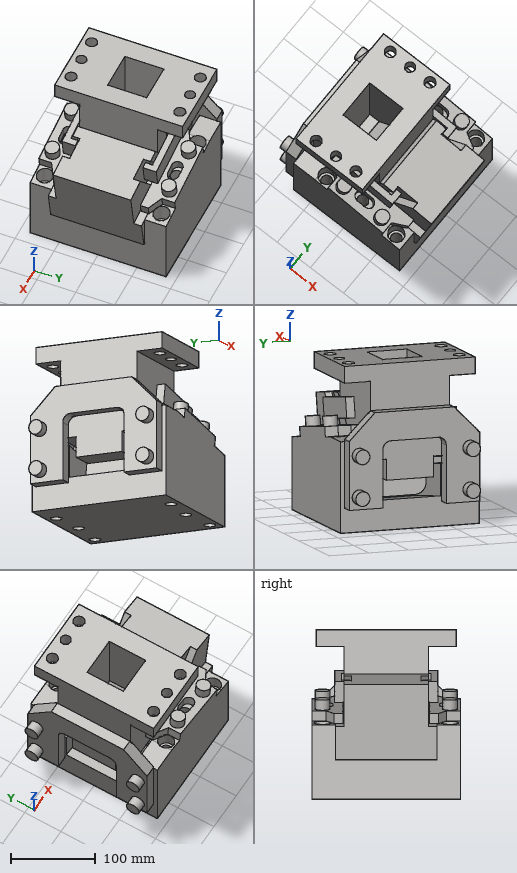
import cadquery as cq
import math


overall_length = 205.1
overall_height = 200.0

base_length = 160.0
base_width = 175.0
base_height = 110.0
slope_start_x = 32.5
slope_angle = 10.0

plate_thickness = 15.0
plate_width = 165.0
plate_bottom = 30.0
plate_top = 145.0
opening_width = 80.0
opening_top = base_height
opening_radius = 10.0
plate_relief_width = 104.2
plate_relief_depth = 1.0
screw_diameter = 17.6
screw_head_height = 12.0
plate_screw_spacing = 139.9
plate_screw_heights = (45.0, 95.0)

press_length = 100.0
press_width = 100.0
flange_width = plate_width
flange_thickness = 20.0
shoulder_z = 85.0
tongue_width = 59.9
tongue_bottom = 59.9
window_size = 50.0
window_floor_z = 68.5
flange_hole_spacing_x = 30.0
flange_hole_spacing_y = 139.9
flange_hole_diameter = 14.0
flange_middle_hole_diameter = 12.7

bar_start = 14.0
bar_length = 75.0
bar_bottom = 20.0
bar_height = 25.0
bar_thickness = 10.7
bar_relief = 2.5
bar_relief_start = 34.9
hook_reach = 6.5
hook_offset = 18.3

slide_width = press_width
slide_wing_width = 120.0
slide_top = 50.0
slide_bottom = -40.0
slide_toe = 13.7
cam_angle = 60.0
wing_front_x = 44.5
keel_width = 68.0
keel_bottom = -75.0
keel_length = 34.9
keel_radius = 15.0
side_slot_offset = 15.0
side_slot_width = 30.0
side_slot_depth = 9.0
side_slot_stop_x = 101.0

pocket_width = 76.7
pocket_bottom = -78.0
pocket_end = 70.0

gib_thickness = 12.0
gib_length = 120.0
gib_end_inset = 18.0
gib_inner_y = 51.0
gib_corner_y = 61.3
gib_shoulder_y = 71.0
gib_screw_spacing = 57.8
gib_screw_y = 75.0
gib_slot_y = 70.0
gib_slot_spacing = 11.9
gib_slot_width = 14.0
slot_hole_x = 90.5

mounting_hole_x = (40.0, 145.0)
mounting_hole_y = 75.0
mounting_hole_diameter = 14.0
counterbore_diameter = 20.0
counterbore_depth = 20.0

slope = math.radians(slope_angle)
u_direction = cq.Vector(math.cos(slope), 0, -math.sin(slope))
w_direction = cq.Vector(math.sin(slope), 0, math.cos(slope))
slope_origin = cq.Vector(slope_start_x, 0, base_height)

front_end_x = -plate_thickness - screw_head_height
rear_end_x = front_end_x + overall_length
slide_end = (rear_end_x - slope_start_x - slide_top * math.sin(slope)) / math.cos(slope)
clear = 2 * overall_length


def slope_profile(points, width):
    """Prism across Y, centred on Y = 0, from an outline of (u, w) points."""
    plane = cq.Plane(origin=slope_origin, xDir=u_direction, normal=(0, -1, 0))
    return cq.Workplane(plane).polyline(points).close().extrude(width / 2, both=True)


def slope_box(u_start, u_end, w_start, w_end, width):
    """Box in the slope frame, centred on Y = 0."""
    outline = [(u_start, w_start), (u_end, w_start), (u_end, w_end), (u_start, w_end)]
    return slope_profile(outline, width)


def slope_plane(w):
    """Plane parallel to the slope at height w, with u and Y as its axes."""
    return cq.Workplane(cq.Plane(origin=slope_origin + w_direction * w, xDir=u_direction, normal=w_direction))


def box(x_start, x_end, width, z_start, z_end):
    """Upright box, centred on Y = 0."""
    size_x = x_end - x_start
    return (
        cq.Workplane("XY")
        .box(size_x, width, z_end - z_start, centered=(False, True, False))
        .translate((x_start, 0, z_start))
    )


def both_sides(shape):
    """The shape together with its mirror image across Y = 0."""
    return shape.union(shape.mirror("XZ"))


def cam_face(w, offset=0.0):
    """u of the sloping cam face at height w, or of a face parallel to it."""
    return slide_toe + offset + (w - slide_bottom) / math.tan(math.radians(cam_angle))


def beyond_cam(offset, width):
    """Everything on the slide's side of the cam face, moved along u by the offset."""
    low, high = -overall_length, overall_length
    outline = [(cam_face(low, offset), low), (clear, low), (clear, high), (cam_face(high, offset), high)]
    return slope_profile(outline, width)



def base_block():
    rear_height = base_height - (base_length - slope_start_x) * math.tan(slope)
    outline = [
        (0, 0),
        (base_length, 0),
        (base_length, rear_height),
        (slope_start_x, base_height),
        (0, base_height),
    ]
    return cq.Workplane("XZ").polyline(outline).close().extrude(base_width / 2, both=True)


def channel():
    """Sloping space for the press block and slide, with the keel pocket below it."""
    main_channel = slope_box(-clear, clear, slide_bottom, clear, slide_wing_width)
    keel_pocket = slope_box(-clear, pocket_end, pocket_bottom, slide_bottom, pocket_width)
    return main_channel.union(keel_pocket)


def front_plate():
    half_width = plate_width / 2
    half_top = press_width / 2
    shoulder = plate_top - (half_width - half_top)
    outline = [
        (-half_width, plate_bottom),
        (half_width, plate_bottom),
        (half_width, shoulder),
        (half_top, plate_top),
        (-half_top, plate_top),
        (-half_width, shoulder),
    ]
    plate = cq.Workplane("YZ").polyline(outline).close().extrude(-plate_thickness)
    opening = box(-plate_thickness, 0, opening_width, 0, opening_top)
    opening = opening.edges("|X and >Z").fillet(opening_radius)
    relief = box(-plate_relief_depth, 0, plate_relief_width, base_height, plate_top)
    return plate.cut(opening).cut(relief)


def plate_screw_heads():
    points = [(side * plate_screw_spacing / 2, z) for side in (-1, 1) for z in plate_screw_heights]
    return (
        cq.Workplane("YZ", origin=(front_end_x, 0, 0))
        .pushPoints(points)
        .circle(screw_diameter / 2)
        .extrude(screw_head_height)
    )


def gibs():
    outer_y = base_width / 2
    outline = [
        (0, gib_inner_y),
        (gib_length, gib_inner_y),
        (gib_length, gib_corner_y),
        (gib_length - gib_end_inset, gib_shoulder_y),
        (gib_length - gib_end_inset, outer_y),
        (gib_end_inset, outer_y),
        (gib_end_inset, gib_shoulder_y),
        (0, gib_corner_y),
    ]
    gib = slope_plane(0).polyline(outline).close().extrude(gib_thickness)
    screw_points = [(gib_length / 2 + end * gib_screw_spacing / 2, gib_screw_y) for end in (-1, 1)]
    screws = (
        slope_plane(gib_thickness)
        .pushPoints(screw_points)
        .circle(screw_diameter / 2)
        .extrude(screw_head_height)
    )
    return both_sides(gib.union(screws))


def gib_slots():
    """Elongated holes through the middle of the gibs, square to the slope."""
    slot = (
        slope_plane(gib_thickness)
        .center(gib_length / 2, gib_slot_y)
        .slot2D(gib_slot_spacing + gib_slot_width, gib_slot_width)
        .extrude(-gib_thickness)
    )
    return both_sides(slot)


def holes_below_slots():
    """Vertical through holes in the base, under the gib slots."""
    points = [(slot_hole_x, side * gib_slot_y) for side in (-1, 1)]
    return cq.Workplane("XY").pushPoints(points).circle(mounting_hole_diameter / 2).extrude(base_height)


def mounting_holes():
    """Vertical through holes, counterbored from the sloping surface under the gibs."""
    points = [(x, side * mounting_hole_y) for x in mounting_hole_x for side in (-1, 1)]
    holes = cq.Workplane("XY").pushPoints(points).circle(mounting_hole_diameter / 2).extrude(base_height)
    for x, y in points:
        surface_z = base_height - (x - slope_start_x) * math.tan(slope)
        counterbore = (
            cq.Workplane("XY", origin=(x, y, surface_z - counterbore_depth))
            .circle(counterbore_diameter / 2)
            .extrude(base_height)
        )
        holes = holes.union(counterbore)
    return holes


def make_base():
    base = base_block().cut(channel()).cut(mounting_holes()).cut(holes_below_slots())
    base = base.union(gibs()).cut(gib_slots())
    return base.union(front_plate()).union(plate_screw_heads())



def flange_holes():
    holes = cq.Workplane("XY")
    for step, diameter in (
        (-1, flange_hole_diameter),
        (0, flange_middle_hole_diameter),
        (1, flange_hole_diameter),
    ):
        x = press_length / 2 + step * flange_hole_spacing_x
        for side in (-1, 1):
            hole = (
                cq.Workplane("XY", origin=(x, side * flange_hole_spacing_y / 2, overall_height))
                .circle(diameter / 2)
                .extrude(-flange_thickness)
            )
            holes = holes.add(hole)
    return holes.combine()


def return_bars():
    """Bars along the slope whose hooked ends reach into the side slots of the slide."""
    bar_end = bar_start + bar_length
    bar_top = bar_bottom + bar_height
    outer_width = press_width + 2 * bar_thickness
    relief_width = press_width + 2 * bar_relief
    hook_gap = press_width - 2 * hook_reach
    bars = slope_box(bar_start, bar_end, bar_bottom, bar_top, outer_width)
    relief = slope_box(bar_relief_start, clear, -clear, clear, relief_width)
    relief = relief.cut(beyond_cam(hook_offset, relief_width))
    between_bars = slope_box(-clear, clear, -clear, clear, press_width)
    between_bars = between_bars.cut(beyond_cam(hook_offset, press_width))
    between_hooks = slope_box(-clear, clear, -clear, clear, hook_gap)
    return bars.cut(relief).cut(between_bars).cut(between_hooks)


def make_press_block():
    stem = box(0, press_length, press_width, shoulder_z, overall_height)
    tongue = box(0, press_length, tongue_width, tongue_bottom, shoulder_z)
    flange = box(0, press_length, flange_width, overall_height - flange_thickness, overall_height)
    window = box(
        (press_length - window_size) / 2,
        (press_length + window_size) / 2,
        window_size,
        window_floor_z,
        overall_height,
    )
    lower = stem.union(tongue).cut(beyond_cam(0, clear))
    return lower.union(flange).cut(window).cut(flange_holes()).union(return_bars())



def side_slots():
    """Slots parallel to the cam face in both sides, with an upright front wall low down."""
    behind_front_wall = beyond_cam(side_slot_offset, slide_width)
    behind_rear_wall = beyond_cam(side_slot_offset + side_slot_width, slide_width)
    slots = behind_front_wall.cut(behind_rear_wall)
    slots = slots.intersect(box(side_slot_stop_x, clear, slide_width, 0, clear))
    slots = slots.intersect(slope_box(-clear, clear, 0, slide_top, slide_width))
    core = slope_box(-clear, clear, 0, slide_top, slide_width - 2 * side_slot_depth)
    return slots.cut(core)


def keel():
    block = slope_box(slide_toe, slide_toe + keel_length, keel_bottom, slide_bottom, keel_width)
    lower_edges = cq.selectors.DirectionMinMaxSelector(w_direction, False)
    return block.edges(cq.selectors.ParallelDirSelector(u_direction)).edges(lower_edges).fillet(keel_radius)


def make_slide():
    upper = slope_box(0, slide_end, slide_bottom, slide_top, slide_width)
    wings = slope_box(0, slide_end, slide_bottom, 0, slide_wing_width)
    slide = upper.union(wings).intersect(beyond_cam(0, clear))
    blunt_front = box(-clear, wing_front_x, clear, 0, clear).cut(box(-clear, wing_front_x, keel_width, 0, clear))
    return slide.cut(blunt_front).cut(side_slots()).union(keel())


base = make_base()
press_block = make_press_block()
slide = make_slide()

result = cq.Compound.makeCompound([base.solids().val(), press_block.solids().val(), slide.solids().val()])